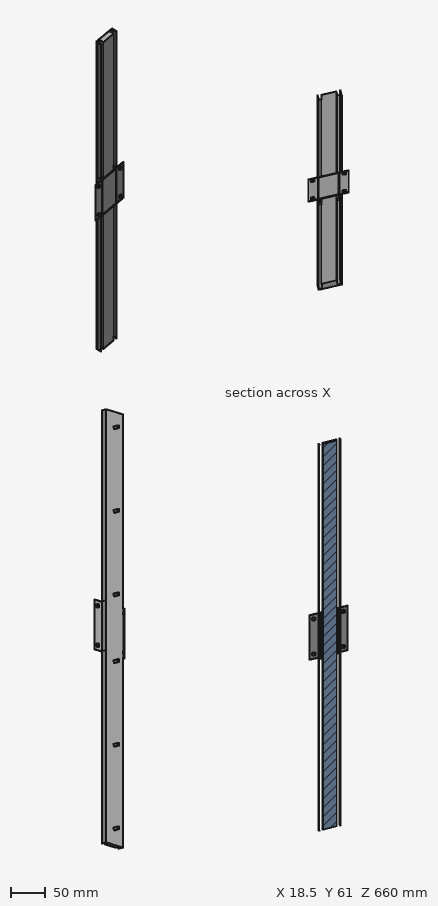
import cadquery as cq

RAIL_LENGTH = 660.0
RAIL_WIDTH = 35.0
RAIL_DEPTH = 9.0

CORE_WIDTH = 22.5
CORE_DEPTH = 8.5

GROOVE_FLOOR = 2.0
GROOVE_WIDTH = 5.0

PLATE_WIDTH = 61.0
PLATE_HEIGHT = 76.0
PLATE_THICKNESS = 1.0
PLATE_GAP = 0.5
PLATE_CENTER_Z = 1.0
RUNNER_NECK_WIDTH = 2.0
RUNNER_FOOT_THICKNESS = 3.0
PLATE_HOLE_DIAMETER = 5.5
PLATE_HOLE_SPACING_Y = 47.5
PLATE_HOLE_SPACING_Z = 60.0

STUD_DIAMETER = 4.5
STUD_TIP_DIAMETER = 4.0
STUD_PROJECTION = 8.0
STUD_DEPTH = 2.0
STUD_PITCH = 127.5
INNER_STUD_HEIGHT = 51.0
STUDS_PER_HALF = 3

STUD_HEIGHTS = [
    side * (INNER_STUD_HEIGHT + index * STUD_PITCH)
    for side in (-1, 1)
    for index in range(STUDS_PER_HALF)
]


def block(x_start, x_end, y_start, y_end, height):
    """Box between two X and two Y positions, centred on Z = 0."""
    return (
        cq.Workplane("XY", origin=(x_start, y_start, -height / 2))
        .box(x_end - x_start, y_end - y_start, height, centered=False)
    )


def make_stud(height):
    """Round stud with a chamfered tip, seated in the rail's mounting face."""
    return (
        cq.Workplane("YZ", origin=(-STUD_PROJECTION, 0, height))
        .circle(STUD_DIAMETER / 2)
        .extrude(STUD_PROJECTION + STUD_DEPTH)
        .faces("<X")
        .chamfer((STUD_DIAMETER - STUD_TIP_DIAMETER) / 2)
    )


def make_groove():
    """Cutting shape of the +Y guide groove."""
    core_side = CORE_WIDTH / 2
    return block(GROOVE_FLOOR, RAIL_DEPTH, core_side, core_side + GROOVE_WIDTH, RAIL_LENGTH)


def make_rail():
    """Solid bar with a lowered core, two guide grooves and blind stud holes."""
    half_core = CORE_WIDTH / 2
    groove = make_groove()
    rail = block(0, RAIL_DEPTH, -RAIL_WIDTH / 2, RAIL_WIDTH / 2, RAIL_LENGTH)
    rail = rail.cut(block(CORE_DEPTH, RAIL_DEPTH, -half_core, half_core, RAIL_LENGTH))
    rail = rail.cut(groove).cut(groove.mirror("XZ"))
    for height in STUD_HEIGHTS:
        rail = rail.cut(make_stud(height))
    return rail


def make_runner():
    """L-shaped runner: a foot filling the +Y groove's bottom and a neck along its wall."""
    core_side = CORE_WIDTH / 2
    wall_side = core_side + GROOVE_WIDTH
    foot_end = GROOVE_FLOOR + RUNNER_FOOT_THICKNESS
    plate_start = RAIL_DEPTH + PLATE_GAP
    foot = block(GROOVE_FLOOR, foot_end, core_side, wall_side, PLATE_HEIGHT)
    neck = block(foot_end, plate_start, wall_side - RUNNER_NECK_WIDTH, wall_side, PLATE_HEIGHT)
    return foot.union(neck)


def make_carriage():
    """Drilled plate with a runner for each rail groove."""
    plate_start = RAIL_DEPTH + PLATE_GAP
    plate_end = plate_start + PLATE_THICKNESS
    plate = block(plate_start, plate_end, -PLATE_WIDTH / 2, PLATE_WIDTH / 2, PLATE_HEIGHT)
    holes = (
        cq.Workplane("YZ", origin=(plate_start, 0, 0))
        .rarray(PLATE_HOLE_SPACING_Y, PLATE_HOLE_SPACING_Z, 2, 2)
        .circle(PLATE_HOLE_DIAMETER / 2)
        .extrude(PLATE_THICKNESS)
    )
    runner = make_runner()
    carriage = plate.cut(holes).union(runner).union(runner.mirror("XZ"))
    return carriage.translate((0, 0, PLATE_CENTER_Z))


rail = make_rail()
carriage = make_carriage()
studs = [make_stud(height) for height in STUD_HEIGHTS]

result = cq.Compound.makeCompound(
    [rail.val(), carriage.val(), *[stud.val() for stud in studs]]
)